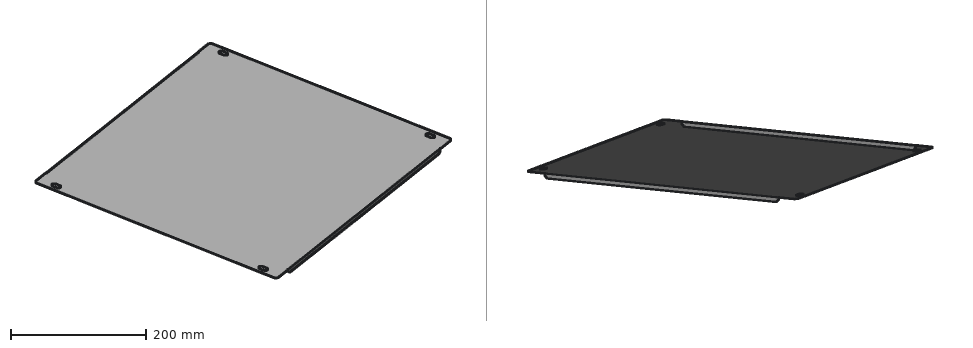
import cadquery as cq

width = 439.0
length = 449.0
height = 8.0
sheet = 1.0
corner_chamfer = 3.0

flange_length = 389.7
flange_chamfer = 4.0
bend_radius = 1.0

slot_spacing_x = 375.0
slot_spacing_y = 427.0
slot_length = 15.0
slot_width = 7.0


def make_plate():
    """Flat sheet with bevelled corners, its top face at Z = 0."""
    return (
        cq.Workplane("XY")
        .box(width, length, sheet, centered=(True, True, False))
        .translate((0, 0, -sheet))
        .edges("|Z")
        .chamfer(corner_chamfer)
    )


def bend_cutter():
    """Strips of waste outside the rounded bend, along both flanged edges."""
    edge = width / 2
    strip = (
        cq.Workplane("XZ")
        .moveTo(edge - bend_radius, 0)
        .lineTo(edge, 0)
        .lineTo(edge, -bend_radius)
        .radiusArc((edge - bend_radius, 0), -bend_radius)
        .close()
        .extrude(flange_length / 2, both=True)
    )
    return strip.union(strip.mirror("YZ"))


def make_flange(side):
    """Downturned flange on the +X (side = 1) or -X (side = -1) edge."""
    return (
        cq.Workplane("XY")
        .box(sheet, flange_length, height, centered=(True, True, False))
        .translate((side * (width - sheet) / 2, 0, -height))
        .edges("|X and <Z")
        .chamfer(flange_chamfer)
    )


def slot_cutter():
    """Four mounting slots, one near each corner."""
    return (
        cq.Workplane("XY")
        .rarray(slot_spacing_x, slot_spacing_y, 2, 2)
        .slot2D(slot_length, slot_width)
        .extrude(-sheet)
    )


result = make_plate()
for side in (-1, 1):
    result = result.union(make_flange(side))
result = result.cut(bend_cutter()).cut(slot_cutter())